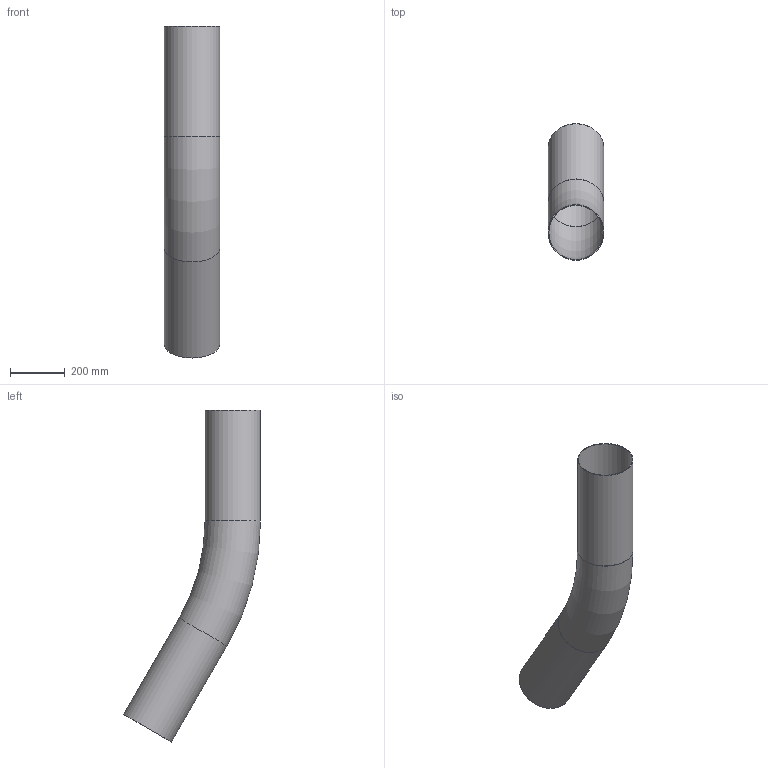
import cadquery as cq
import math

OUTER_DIAMETER = 203.2
INNER_DIAMETER = 198.98
STRAIGHT_LENGTH = 2 * OUTER_DIAMETER
BEND_RADIUS = 4 * OUTER_DIAMETER
BEND_ANGLE = 30.0

bend_sine = math.sin(math.radians(BEND_ANGLE))
bend_cosine = math.cos(math.radians(BEND_ANGLE))
half_sine = math.sin(math.radians(BEND_ANGLE / 2))
half_cosine = math.cos(math.radians(BEND_ANGLE / 2))

top_end = (0.0, STRAIGHT_LENGTH)
bend_start = (0.0, 0.0)
bend_middle = (BEND_RADIUS * (1 - half_cosine), -BEND_RADIUS * half_sine)
bend_end = (BEND_RADIUS * (1 - bend_cosine), -BEND_RADIUS * bend_sine)
bottom_end = (
    bend_end[0] + STRAIGHT_LENGTH * bend_sine,
    bend_end[1] - STRAIGHT_LENGTH * bend_cosine,
)


def tube_centreline():
    """Vertical leg, tangent arc toward +Y, then the inclined lower leg."""
    return (
        cq.Workplane("YZ")
        .moveTo(*top_end)
        .lineTo(*bend_start)
        .threePointArc(bend_middle, bend_end)
        .lineTo(*bottom_end)
    )


def bent_tube():
    """Sweep the annular wall section along the centreline, open at both ends."""
    wall_section = (
        cq.Workplane("XY")
        .workplane(offset=STRAIGHT_LENGTH)
        .circle(OUTER_DIAMETER / 2)
        .circle(INNER_DIAMETER / 2)
    )
    return wall_section.sweep(tube_centreline())


result = bent_tube()